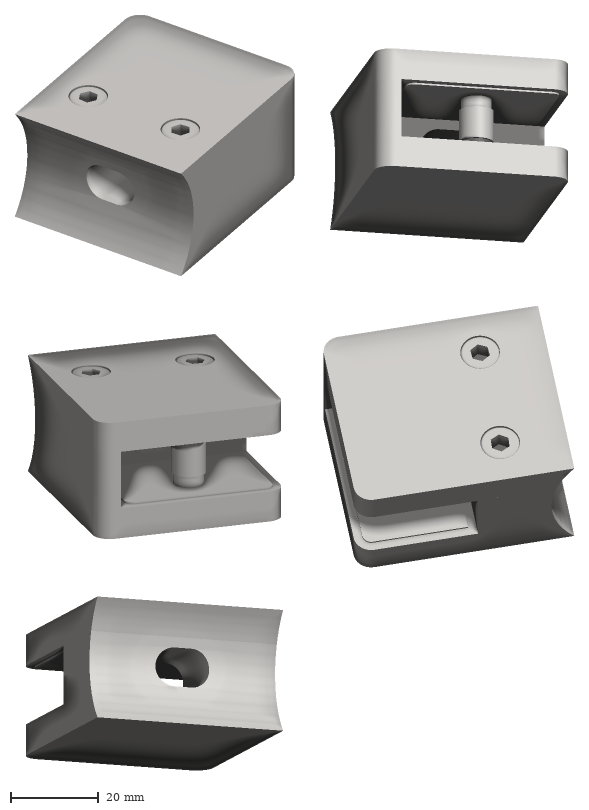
import cadquery as cq
import math

WIDTH = 45.0
LENGTH = 50.3
HEIGHT = 28.0
JAW_THICKNESS = 7.2
CORNER_RADIUS = 4.0
SADDLE_RADIUS = 21.2

BLOCK_END = 22.25
SIDE_WALL = 5.45

SLOT_LENGTH = 13.0
SLOT_HEIGHT = 9.0

PAD_THICKNESS = 0.4
PAD_MARGIN = 1.95

PIN_DIAMETER = 7.05
COLLAR_DIAMETER = 7.95
COLLAR_HEIGHT = 7.4
PIN_Y = 39.7

SCREW_DIAMETER = 9.0
SCREW_ROUNDING = 0.5
SCREW_RECESS = 0.2
SCREW_SIDES = (-1, 1)
SCREW_SPACING = 24.95
SCREW_Y = 15.3
SOCKET_FLATS = 4.0
SOCKET_DEPTH = 4.0
SOCKET_TURN = 3.0
SOCKET_CORNERS = SOCKET_FLATS / math.cos(math.pi / 6)

TOP = HEIGHT / 2
BOTTOM = -HEIGHT / 2
POCKET_TOP = TOP - JAW_THICKNESS
POCKET_BOTTOM = BOTTOM + JAW_THICKNESS
SCREW_TOP = TOP - SCREW_RECESS
POCKET_HEIGHT = POCKET_TOP - POCKET_BOTTOM
POCKET_WIDTH = WIDTH - SIDE_WALL
POCKET_LENGTH = LENGTH - BLOCK_END
POCKET_X = -SIDE_WALL / 2
POCKET_Y = BLOCK_END + POCKET_LENGTH / 2
SADDLE_AXIS_Y = -math.sqrt(SADDLE_RADIUS**2 - TOP**2)
SCREW_POSITIONS = [(side * SCREW_SPACING / 2, SCREW_Y) for side in SCREW_SIDES]


def saddle_block(z_bottom, z_top):
    """Full-size slab with rounded back corners and the front hollowed by the saddle."""
    slab = (
        cq.Workplane("XY", origin=(0, LENGTH / 2, z_bottom))
        .rect(WIDTH, LENGTH)
        .extrude(z_top - z_bottom)
        .edges("|Z and >Y")
        .fillet(CORNER_RADIUS)
    )
    saddle = (
        cq.Workplane("YZ")
        .center(SADDLE_AXIS_Y, 0)
        .circle(SADDLE_RADIUS)
        .extrude(WIDTH, both=True)
    )
    return slab.cut(saddle)


def make_base():
    """Lower jaw, front block and side wall in one piece, with the slot through the block."""
    pocket = (
        cq.Workplane("XY", origin=(POCKET_X, POCKET_Y, POCKET_BOTTOM))
        .rect(POCKET_WIDTH, POCKET_LENGTH)
        .extrude(POCKET_HEIGHT)
    )
    slot = (
        cq.Workplane("XZ")
        .slot2D(SLOT_LENGTH, SLOT_HEIGHT)
        .extrude(-BLOCK_END)
    )
    return saddle_block(BOTTOM, POCKET_TOP).cut(pocket).cut(slot)


def make_cover():
    """Upper jaw with the two screw holes."""
    holes = (
        cq.Workplane("XY", origin=(0, 0, POCKET_TOP))
        .pushPoints(SCREW_POSITIONS)
        .circle(SCREW_DIAMETER / 2)
        .extrude(JAW_THICKNESS)
    )
    return saddle_block(POCKET_TOP, TOP).cut(holes)


def make_screw(x, y, socket_turn):
    """Round-edged screw standing on the base in its cover hole, its hexagon socket turned about Z."""
    body = (
        cq.Workplane("XY", origin=(x, y, POCKET_TOP))
        .circle(SCREW_DIAMETER / 2)
        .extrude(SCREW_TOP - POCKET_TOP)
        .faces(">Z")
        .fillet(SCREW_ROUNDING)
    )
    socket = (
        cq.Workplane("XY", origin=(x, y, SCREW_TOP))
        .transformed(rotate=(0, 0, socket_turn))
        .polygon(6, SOCKET_CORNERS)
        .extrude(-SOCKET_DEPTH)
    )
    return body.cut(socket)


def make_pad(z_bottom):
    """Thin pad inset evenly from the edges of the pocket, its back corners rounded."""
    return (
        cq.Workplane("XY", origin=(POCKET_X, POCKET_Y, z_bottom))
        .rect(POCKET_WIDTH - 2 * PAD_MARGIN, POCKET_LENGTH - 2 * PAD_MARGIN)
        .extrude(PAD_THICKNESS)
        .edges("|Z and >Y")
        .fillet(CORNER_RADIUS - PAD_MARGIN)
    )


def pin_cylinder(diameter, height):
    """Cylinder on the pin axis, centred at mid-height."""
    return cq.Workplane("XY", origin=(POCKET_X, PIN_Y, -height / 2)).circle(diameter / 2).extrude(height)


def make_pin():
    """Round pin reaching from pad to pad, with a wider collar at mid-height."""
    shaft_height = POCKET_HEIGHT - 2 * PAD_THICKNESS
    shaft = pin_cylinder(PIN_DIAMETER, shaft_height)
    collar = pin_cylinder(COLLAR_DIAMETER, COLLAR_HEIGHT)
    return shaft.union(collar)


base = make_base()
cover = make_cover()
pin = make_pin()
pads = [make_pad(z) for z in (POCKET_BOTTOM, POCKET_TOP - PAD_THICKNESS)]
screws = [make_screw(x, y, side * SOCKET_TURN) for side, (x, y) in zip(SCREW_SIDES, SCREW_POSITIONS)]

result = cq.Compound.makeCompound(
    [
        base.val(),
        cover.val(),
        pin.val(),
        *[pad.val() for pad in pads],
        *[screw.val() for screw in screws],
    ]
)